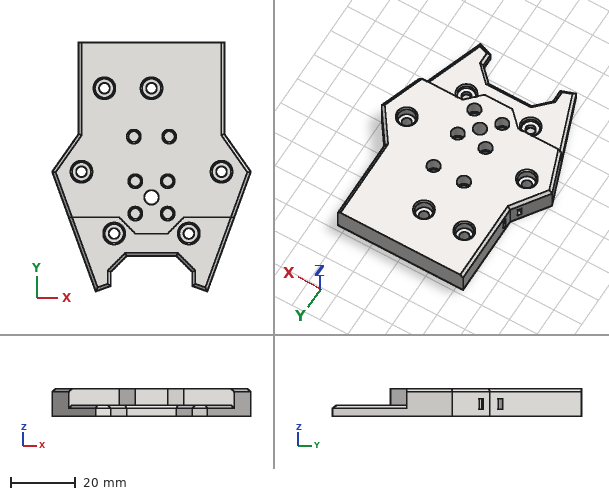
import cadquery as cq

length = 76.7
height = 8.5
ledge_height = 3.45
edge_chamfer = 1.0

back_half_width = 22.5
widest_half_width = 30.6
waist_y = 48.5
widest_y = 36.9
tip_x = 17.2

notch_half_width = 12.5
notch_floor_half_width = 7.7
notch_floor_y = 10.9
notch_corner_y = notch_floor_y - (notch_half_width - notch_floor_half_width)

step_y = 22.85
nose_half_width = 5.0
nose_length = 5.0
nose_y = step_y - nose_length

screw_diameter = 3.2
head_diameter = 5.8
head_rim_chamfer = 0.5
deck_head_depth = 3.5
ledge_head_depth = 1.7
back_screw_y = 62.6
back_screw_x = 14.5
side_screw_x = 21.55
ledge_screw_x = 11.5

center_hole_diameter = 4.4
center_hole_y = 29.0
insert_diameter = 4.4
insert_depth = 5.0
pilot_diameter = 3.3
pilot_depth = 7.0
insert_square = 10.0
insert_pair_x = 5.45
insert_pair_y = 47.7

strap_inner_radius = 2.5
strap_outer_radius = 4.0
strap_bottom_z = 2.2
strap_width = 3.2


def outline_points():
    """Full plate outline; each claw end is square to its slanted side."""
    end_slope = (widest_half_width - tip_x) / widest_y
    claw_inner_y = (tip_x - notch_half_width) * end_slope
    right_half = [
        (back_half_width, length),
        (back_half_width, waist_y),
        (widest_half_width, widest_y),
        (tip_x, 0),
        (notch_half_width, claw_inner_y),
        (notch_half_width, notch_corner_y),
        (notch_floor_half_width, notch_floor_y),
    ]
    left_half = [(-x, y) for x, y in reversed(right_half)]
    return right_half + left_half


def chamfered_plate(thickness):
    """Outline plate with its top edge chamfered everywhere except along the back."""
    plate = cq.Workplane("XY").polyline(outline_points()).close().extrude(thickness)
    rim = plate.faces(">Z").edges("not >Y")
    return rim.chamfer(edge_chamfer)


def deck_region():
    """Column behind the front step, with the nose that reaches forward in the middle."""
    nose_root_half_width = nose_half_width + nose_length
    points = [
        (widest_half_width, length),
        (widest_half_width, step_y),
        (nose_root_half_width, step_y),
        (nose_half_width, nose_y),
        (-nose_half_width, nose_y),
        (-nose_root_half_width, step_y),
        (-widest_half_width, step_y),
        (-widest_half_width, length),
    ]
    return cq.Workplane("XY").polyline(points).close().extrude(height)


def cylinder(diameter, bottom_z, top_z):
    return cq.Workplane("XY").workplane(offset=bottom_z).circle(diameter / 2).extrude(top_z - bottom_z)


def screw_hole(surface_z, head_depth):
    """Cutter for a counterbored screw hole that opens at the given surface height."""
    rim_diameter = head_diameter + 2 * head_rim_chamfer
    rim = (
        cq.Workplane("XY")
        .workplane(offset=surface_z - head_rim_chamfer)
        .circle(head_diameter / 2)
        .workplane(offset=head_rim_chamfer)
        .circle(rim_diameter / 2)
        .loft()
    )
    head = cylinder(head_diameter, surface_z - head_depth, surface_z)
    return cylinder(screw_diameter, 0, surface_z).union(head).union(rim)


def insert_hole():
    """Cutter for a blind hole with a narrower pilot below it."""
    pilot = cylinder(pilot_diameter, height - pilot_depth, height)
    return cylinder(insert_diameter, height - insert_depth, height).union(pilot)


def strap_channel():
    """Ring-shaped cutter that runs from one side of a waist corner to the other."""
    ring = cq.Workplane("XY").circle(strap_outer_radius).circle(strap_inner_radius).extrude(strap_width)
    return ring.translate((0, 0, strap_bottom_z))


def cut_at(body, cutter, places):
    for x, y in places:
        body = body.cut(cutter.translate((x, y, 0)))
    return body


deck_screws = [
    (-back_screw_x, back_screw_y),
    (0, back_screw_y),
    (-side_screw_x, widest_y),
    (side_screw_x, widest_y),
]
ledge_screws = [(side * ledge_screw_x, nose_y) for side in (-1, 1)]
inserts = [(side * insert_pair_x, insert_pair_y) for side in (-1, 1)]
for side in (-1, 1):
    for end in (-1, 1):
        inserts.append((side * insert_square / 2, center_hole_y + end * insert_square / 2))
waist_corners = [(side * back_half_width, waist_y) for side in (-1, 1)]

body = chamfered_plate(height).intersect(deck_region()).union(chamfered_plate(ledge_height))
body = cut_at(body, screw_hole(height, deck_head_depth), deck_screws)
body = cut_at(body, screw_hole(ledge_height, ledge_head_depth), ledge_screws)
body = cut_at(body, insert_hole(), inserts)
body = cut_at(body, cylinder(center_hole_diameter, 0, height), [(0, center_hole_y)])
body = cut_at(body, strap_channel(), waist_corners)

result = body